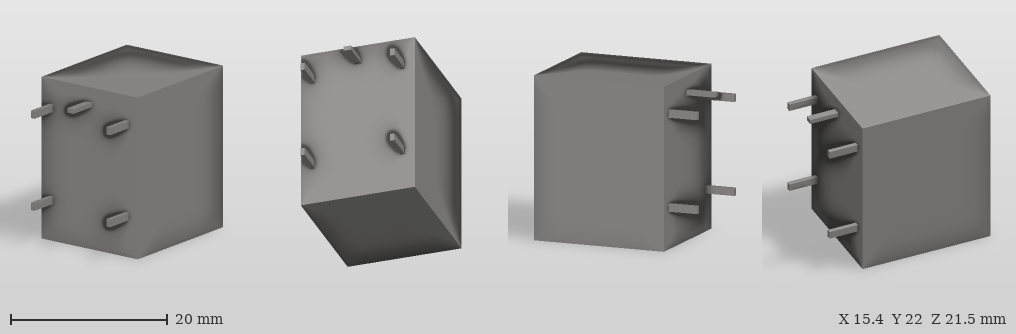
import cadquery as cq

HOUSING_WIDTH = 15.4
HOUSING_HEIGHT = 21.5
TOTAL_DEPTH = 22.0
PIN_LENGTH = 4.0
HOUSING_DEPTH = TOTAL_DEPTH - PIN_LENGTH

PIN_THICKNESS = 0.6
PIN_BREADTH = 1.0

CORNER_PIN_X = 6.05
UPPER_PIN_Z = 6.95
LOWER_PIN_Z = -5.28
CENTER_PIN_Z = 8.54


def make_housing():
    """Plain rectangular block behind the front face."""
    return cq.Workplane("XY").box(
        HOUSING_WIDTH, HOUSING_DEPTH, HOUSING_HEIGHT, centered=(True, False, True)
    )


def make_pin(x, z, width, height):
    """Straight pin standing on the front face, centred at (x, z)."""
    pin = cq.Workplane("XY").box(width, PIN_LENGTH, height)
    return pin.translate((x, -PIN_LENGTH / 2, z))


housing = make_housing()

corner_pins = [
    make_pin(x, z, PIN_THICKNESS, PIN_BREADTH)
    for x in (-CORNER_PIN_X, CORNER_PIN_X)
    for z in (LOWER_PIN_Z, UPPER_PIN_Z)
]
center_pin = make_pin(0, CENTER_PIN_Z, PIN_BREADTH, PIN_THICKNESS)

result = cq.Compound.makeCompound(
    [housing.val(), *[pin.val() for pin in corner_pins], center_pin.val()]
)